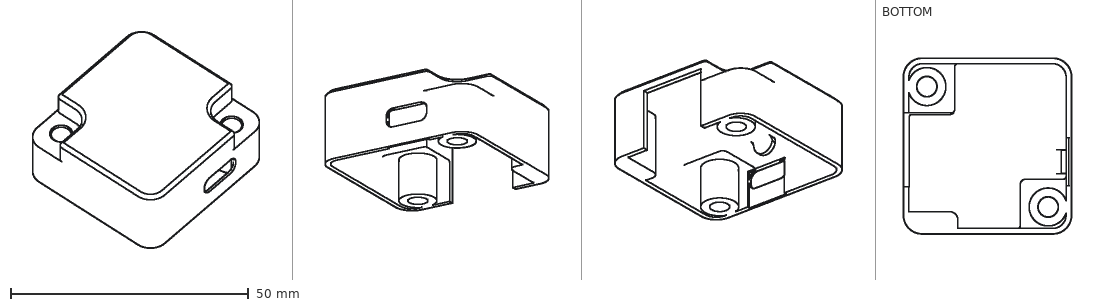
import cadquery as cq
import math


LENGTH_X = 35.4
WIDTH_Y = 37.0
HEIGHT = 15.9
CORNER_RADIUS = 4.0
TOP_CHAMFER = 0.8

NOTCH_X = 9.25
FRONT_NOTCH_Y = 10.2
BACK_NOTCH_Y = 9.95
NOTCH_FLOOR_Z = 10.8
NOTCH_RADIUS = 4.0
NOTCH_END_RADIUS = 1.0

HOLE_DIAMETER = 4.2
HOLE_CHAMFER = 0.3
HOLE_INSET_X = 4.95
FRONT_HOLE_INSET_Y = 6.0
BACK_HOLE_INSET_Y = 5.7
SCREW_POST_RADIUS = 4.0

WALL = 1.2
CEILING_Z = 13.85
HUMP_WALL = 1.6
HUMP_RADIUS = 1.2
HUMP_END_RADIUS = 0.55
CAVITY_FILLET = 0.5

OPENING_WIDTH = 15.55
OPENING_TOP_Z = 13.6

WINDOW_WIDTH = 10.0
WINDOW_HEIGHT = 4.2
WINDOW_TOP_Z = 8.45
WINDOW_RADIUS = 1.7
WINDOW_CENTER_Y = 3.3
RECESS_DEPTH = WALL / 2

BOSS_RADIUS = 2.48
BOSS_BOTTOM_Z = 10.73
BOSS_DEPTH = 1.0
BOSS_FILLET = 0.95

BLOCK_FACE_Y = 13.75
BLOCK_END_X = -6.2
BLOCK_RADIUS = 1.8

RIGHT = LENGTH_X / 2
BACK = WIDTH_Y / 2
INNER_RIGHT = RIGHT - WALL
INNER_BACK = BACK - WALL


def block(x_range, y_range, z_range):
    """Box between the given pairs of limits."""
    sizes = [high - low for low, high in (x_range, y_range, z_range)]
    return cq.Workplane("XY").box(*sizes, centered=False).translate((x_range[0], y_range[0], z_range[0]))


def rounded_block(inset, z_range):
    """Body outline, moved inward by inset, as a prism."""
    x, y = RIGHT - inset, BACK - inset
    return block((-x, x), (-y, y), z_range).edges("|Z").fillet(CORNER_RADIUS - inset)


def notched_block(inset, notch_growth, inner_radius, end_radius, z_range):
    """Prism of the inset body outline less the two grown notches."""
    x, y = RIGHT - inset, BACK - inset
    notch_x = RIGHT - NOTCH_X - notch_growth
    front_y = -BACK + FRONT_NOTCH_Y + notch_growth
    back_y = BACK - BACK_NOTCH_Y - notch_growth
    outline = [
        (-x, y), (notch_x, y), (notch_x, back_y), (x, back_y),
        (x, -y), (-notch_x, -y), (-notch_x, front_y), (-x, front_y),
    ]
    low, high = z_range
    prism = cq.Workplane("XY").workplane(offset=low).polyline(outline).close().extrude(high - low)

    def round_edges(solid, points, radius):
        """Fillet the vertical edge nearest each point."""
        edges = [cq.selectors.NearestToPointSelector((px, py, (low + high) / 2)) for px, py in points]
        picked = solid.edges(edges[0])
        for edge in edges[1:]:
            picked = picked.add(solid.edges(edge))
        return picked.fillet(radius)

    prism = round_edges(prism, [outline[0], outline[4]], CORNER_RADIUS - inset)
    prism = round_edges(prism, [outline[2], outline[6]], inner_radius)
    return round_edges(prism, [outline[1], outline[3], outline[5], outline[7]], end_radius)


def make_body():
    lower = rounded_block(0, (0, NOTCH_FLOOR_Z))
    upper = notched_block(0, 0, NOTCH_RADIUS, NOTCH_END_RADIUS, (NOTCH_FLOOR_Z, HEIGHT))
    return lower.union(upper.faces(">Z").edges().chamfer(TOP_CHAMFER))


def make_cavity():
    hump_bottom_z = NOTCH_FLOOR_Z - HUMP_WALL
    lower = rounded_block(WALL, (0, hump_bottom_z)).faces(">Z").edges().fillet(CAVITY_FILLET)
    upper_range = (hump_bottom_z - CAVITY_FILLET, CEILING_Z)
    upper = notched_block(WALL, HUMP_WALL, HUMP_RADIUS, HUMP_END_RADIUS, upper_range)
    upper = upper.faces(">Z").edges().fillet(CAVITY_FILLET)
    return lower.union(upper)


def make_opening():
    """Cut through the -X wall, running inward past the hump beside it."""
    y_high = BACK - BACK_NOTCH_Y
    depth = NOTCH_X + HUMP_WALL
    return block((-RIGHT, -RIGHT + depth), (y_high - OPENING_WIDTH, y_high), (0, OPENING_TOP_Z))


def make_window():
    y_range = (WINDOW_CENTER_Y - WINDOW_WIDTH / 2, WINDOW_CENTER_Y + WINDOW_WIDTH / 2)
    z_range = (WINDOW_TOP_Z - WINDOW_HEIGHT, WINDOW_TOP_Z)
    slot = block((INNER_RIGHT, RIGHT), y_range, z_range).edges("|X").fillet(WINDOW_RADIUS)
    recess = block((INNER_RIGHT, INNER_RIGHT + RECESS_DEPTH), y_range, (0, WINDOW_TOP_Z))
    return slot.union(recess)


def make_boss():
    """Half-round boss whose front blends into the ceiling with a concave fillet."""
    center_z = BOSS_BOTTOM_Z + BOSS_RADIUS
    front_x = INNER_RIGHT - BOSS_DEPTH
    wall_x = INNER_RIGHT + WALL / 2
    roof_z = CEILING_Z + WALL / 2
    y_range = (WINDOW_CENTER_Y - BOSS_RADIUS, WINDOW_CENTER_Y + BOSS_RADIUS)
    disc = (
        cq.Workplane("YZ", origin=(front_x, WINDOW_CENTER_Y, center_z))
        .circle(BOSS_RADIUS)
        .extrude(wall_x - front_x)
    )
    disc = disc.intersect(block((front_x, wall_x), y_range, (BOSS_BOTTOM_Z, center_z)))
    blend_z = CEILING_Z - BOSS_FILLET
    blend_x = front_x - BOSS_FILLET
    arc_offset = BOSS_FILLET * math.sqrt(0.5)
    blend = (
        cq.Workplane("XZ", origin=(0, y_range[1], 0))
        .moveTo(front_x, blend_z)
        .threePointArc((blend_x + arc_offset, blend_z + arc_offset), (blend_x, CEILING_Z))
        .lineTo(blend_x, roof_z)
        .lineTo(wall_x, roof_z)
        .lineTo(wall_x, blend_z)
        .close()
        .extrude(2 * BOSS_RADIUS)
    )
    neck = block((front_x, wall_x), y_range, (center_z, roof_z))
    return disc.union(neck).union(blend)


def make_corner_block():
    overlap = WALL / 2
    x_range = (-INNER_RIGHT - overlap, BLOCK_END_X)
    y_range = (BLOCK_FACE_Y, INNER_BACK + overlap)
    corner = block(x_range, y_range, (0, CEILING_Z + overlap))
    corner = corner.edges("|Z and >X and <Y").fillet(BLOCK_RADIUS)
    return corner.intersect(rounded_block(overlap, (0, CEILING_Z + overlap)))


def make_screw_post(x, y):
    """Post that carries a screw hole from the notch floor to the open bottom."""
    height = NOTCH_FLOOR_Z - HUMP_WALL / 2
    return cq.Workplane("XY").circle(SCREW_POST_RADIUS).extrude(height).translate((x, y, 0))


def make_hole(x, y):
    """Screw hole with a chamfered mouth at the notch floor."""
    radius = HOLE_DIAMETER / 2
    shaft = cq.Workplane("XY").circle(radius).extrude(NOTCH_FLOOR_Z)
    mouth = (
        cq.Workplane("XY", origin=(0, 0, NOTCH_FLOOR_Z))
        .circle(radius + HOLE_CHAMFER)
        .extrude(-HOLE_CHAMFER, taper=45)
    )
    return shaft.union(mouth).translate((x, y, 0))


hole_centers = [
    (-RIGHT + HOLE_INSET_X, -BACK + FRONT_HOLE_INSET_Y),
    (RIGHT - HOLE_INSET_X, BACK - BACK_HOLE_INSET_Y),
]

result = make_body().cut(make_cavity())
result = result.union(make_corner_block()).union(make_boss())
for center in hole_centers:
    result = result.union(make_screw_post(*center)).cut(make_hole(*center))
result = result.cut(make_opening()).cut(make_window())